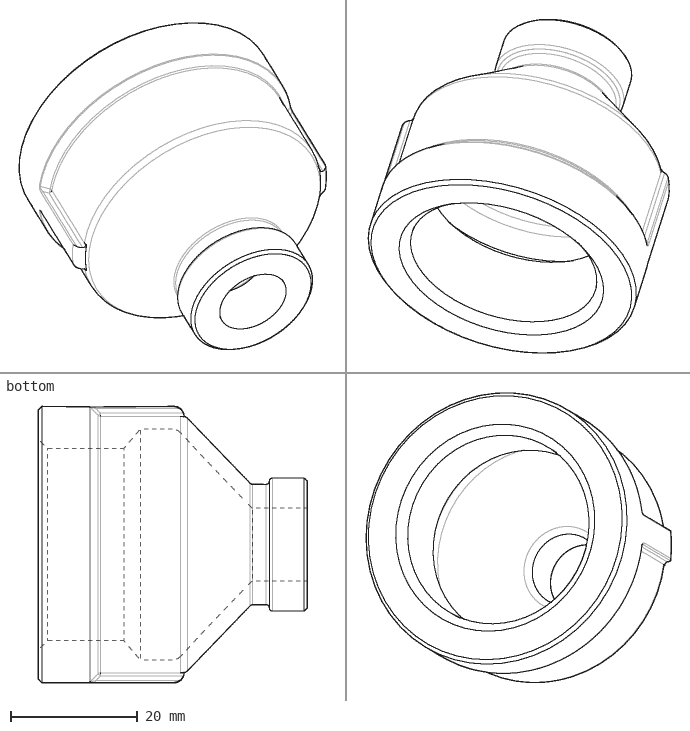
import cadquery as cq
length = 42.4
collar_radius = 43.6 / 2
collar_end = 8.2
collar_chamfer = 0.6
body_radius = 40.8 / 2
body_end = 23.05
shoulder_fillet = 1.5
neck_radius = 19.0 / 2
neck_start = 33.55
neck_fillet = 0.5
spigot_radius = 21.0 / 2
spigot_length = 6.0
spigot_chamfer = 0.5
spigot_step_fillet = 0.49

socket_radius = 30.29 / 2
socket_mouth_radius = 33.25 / 2
relief_radius = 36.4 / 2
relief_start = 13.5
relief_flare_length = 2.6
relief_end = 21.9
relief_fillet = 2.0
funnel_end = 32.7
funnel_end_radius = 13.5 / 2
bore_radius = 11.45 / 2

rib_width = 4.8
rib_end = 23.0
rib_end_fillet = 1.6
root_fillet = 0.5
edge_fillet = 0.25

collar_step = collar_radius - body_radius
body_start = collar_end + collar_step
body_middle = (body_start + body_end) / 2
spigot_start = length - spigot_length

tolerance = 0.02


def turned(points):
    """Solid of revolution about X from an outline of (axial, radial) points."""
    outline = cq.Workplane("XZ").polyline(points).close()
    return outline.revolve(360, (0, 0, 0), (1, 0, 0))


def circles_at(axial):
    """Selector for the circular edges that lie in the plane x = axial."""
    return cq.selectors.BoxSelector(
        (axial - tolerance, -collar_radius * 2, -collar_radius * 2),
        (axial + tolerance, collar_radius * 2, collar_radius * 2),
        boundingbox=True,
    )


def distance_from_axis(point):
    return (point.y**2 + point.z**2) ** 0.5


def panel_edges(blank, on_collar_surface):
    """Edges of the panels between the ribs: the outer ones on the collar surface, or the inner ones."""
    chosen = []
    for edge in blank.edges().vals():
        middle = edge.positionAt(0.5)
        if not collar_end - tolerance < middle.x < length - tolerance:
            continue
        is_outer = distance_from_axis(middle) > collar_radius - tolerance
        if is_outer == on_collar_surface:
            chosen.append(edge)
    return blank.newObject(chosen)


def make_ribbed_bar():
    """Full-length bar with the collar, two straight ribs and their rounded edges."""
    bar = cq.Workplane("YZ").circle(collar_radius).extrude(length)
    clearance_radius = collar_radius + collar_step
    panels = turned([
        (collar_end, collar_radius),
        (collar_end, clearance_radius),
        (length, clearance_radius),
        (length, body_radius),
        (body_start, body_radius),
    ])
    rib_slab = cq.Workplane("XY").box(2 * length, 3 * collar_radius, rib_width)
    bar = bar.cut(panels.cut(rib_slab))
    bar = panel_edges(bar, on_collar_surface=False).fillet(root_fillet)
    return panel_edges(bar, on_collar_surface=True).fillet(edge_fillet)


def make_turned_envelope():
    """Turned outer shape; the collar surface is kept up to the middle of the body."""
    envelope = turned([
        (0, 0),
        (0, collar_radius - collar_chamfer),
        (collar_chamfer, collar_radius),
        (body_middle, collar_radius),
        (body_middle, body_radius),
        (body_end, body_radius),
        (neck_start, neck_radius),
        (spigot_start, neck_radius),
        (spigot_start, spigot_radius),
        (length - spigot_chamfer, spigot_radius),
        (length, spigot_radius - spigot_chamfer),
        (length, 0),
    ])
    envelope = envelope.edges(circles_at(spigot_start)).fillet(spigot_step_fillet)
    envelope = envelope.edges(circles_at(neck_start)).fillet(neck_fillet)
    return envelope.edges(circles_at(body_end)).fillet(shoulder_fillet)


def make_rib_envelope():
    """Slab around both ribs and their roots, with rounded far ends."""
    disc_length = rib_end - body_start
    disc = cq.Workplane("YZ", origin=(body_start, 0, 0)).circle(collar_radius).extrude(disc_length)
    disc = disc.faces(">X").edges().fillet(rib_end_fillet)
    slab_width = rib_width + 2 * root_fillet
    return disc.intersect(cq.Workplane("XY").box(2 * length, 3 * collar_radius, slab_width))


def make_bore():
    mouth_chamfer = socket_mouth_radius - socket_radius
    bore_chamfer = funnel_end_radius - bore_radius
    bore = turned([
        (0, 0),
        (0, socket_mouth_radius),
        (mouth_chamfer, socket_radius),
        (relief_start, socket_radius),
        (relief_start + relief_flare_length, relief_radius),
        (relief_end, relief_radius),
        (funnel_end, funnel_end_radius),
        (funnel_end + bore_chamfer, bore_radius),
        (length, bore_radius),
        (length, 0),
    ])
    return bore.edges(circles_at(relief_end)).fillet(relief_fillet)


envelope = make_turned_envelope().union(make_rib_envelope())
part = make_ribbed_bar().intersect(envelope).cut(make_bore())
result = cq.Workplane(part.solids().val())